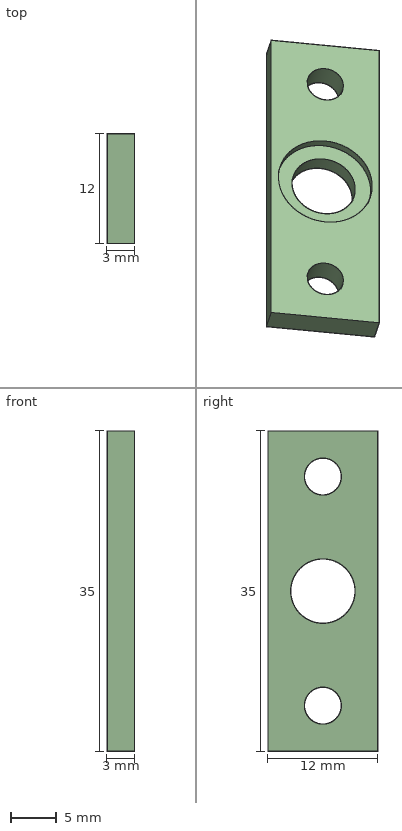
import cadquery as cq

thickness = 3.0
width = 12.0
height = 35.0

bore_diameter = 7.0
recess_diameter = 10.4
recess_depth = 1.0

mount_hole_diameter = 4.0
mount_hole_spacing = 25.0


def cylinder_from_front(diameter, depth, z=0.0):
    """Cylinder running along +X from the -X face, centred at height z."""
    front_center = cq.Vector(-thickness / 2, 0, z)
    return cq.Solid.makeCylinder(diameter / 2, depth, front_center, cq.Vector(1, 0, 0))


plate = cq.Workplane("XY").box(thickness, width, height)

result = plate.cut(cylinder_from_front(bore_diameter, thickness))
result = result.cut(cylinder_from_front(recess_diameter, recess_depth))

for side in (-1, 1):
    hole_z = side * mount_hole_spacing / 2
    result = result.cut(cylinder_from_front(mount_hole_diameter, thickness, hole_z))